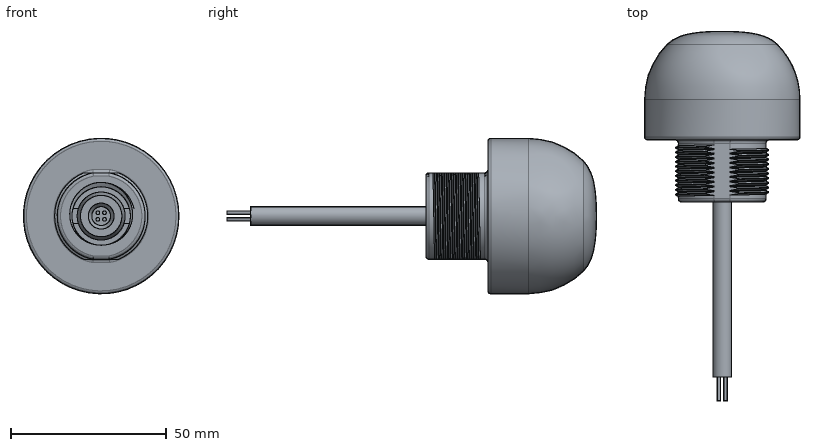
import cadquery as cq
import math


TOTAL_LENGTH = 118.8
DOME_DIAMETER = 50.0
DOME_HEIGHT = 34.9
SKIRT_HEIGHT = 13.1
SHOULDER_DEGREES = 45.0
RIM_FILLET = 1.0

COLLAR_RADIUS = 14.1
COLLAR_LENGTH = 20.0
COLLAR_FILLET = 1.1
FLAT_DISTANCE = 13.9

THREAD_CREST_RADIUS = 15.0
THREAD_LENGTH = 15.8
THREAD_HALF_TURNS = 21
THREAD_START = 2.1
THREAD_ROOT_WIDTH = 1.2
THREAD_CREST_WIDTH = 0.18

RIDGE_OVERLAP = 0.1
JOIN_TOLERANCE = 0.0001

BORE_RADIUS = 9.4
BORE_DEPTH = 7.4
GROOVE_PITCH = 1.8
GROOVE_RADIUS = 10.8
GROOVE_WIDTH = 1.7
GROOVE_ROOT_WIDTH = 0.1

HUB_BASE_RADIUS = 7.7
HUB_TIP_RADIUS = 6.7
HUB_RECESS = 2.6
SLOT_WIDTH = 4.8
SLOT_DEPTH = 1.2
COUNTERSINK_RADIUS = 4.2
COUNTERSINK_DEPTH = 2.1

CABLE_DIAMETER = 6.1
WIRE_RADIUS = 0.6
WIRE_OFFSET = 1.1
WIRE_LENGTH = 7.6

DOME_RADIUS = DOME_DIAMETER / 2
CABLE_RADIUS = CABLE_DIAMETER / 2
THREAD_PITCH = 2 * THREAD_LENGTH / THREAD_HALF_TURNS
WIRE_END = TOTAL_LENGTH - DOME_HEIGHT
CABLE_END = WIRE_END - WIRE_LENGTH
BORE_FLOOR = COLLAR_LENGTH - BORE_DEPTH
HUB_TOP = COLLAR_LENGTH - HUB_RECESS


def helical_ridge(base_radius, tip_radius, base_width, tip_width, pitch, turns, start_z):
    """Right-handed ridge that starts on the +Y side at start_z.

    Its section is a trapezoid on a short straight root that reaches inside base_radius.
    """
    root_radius = base_radius - RIDGE_OVERLAP
    path = cq.Wire.makeHelix(pitch, pitch * turns, root_radius)
    section = (
        cq.Workplane("XZ")
        .moveTo(root_radius, -base_width / 2)
        .lineTo(base_radius, -base_width / 2)
        .lineTo(tip_radius, -tip_width / 2)
        .lineTo(tip_radius, tip_width / 2)
        .lineTo(base_radius, base_width / 2)
        .lineTo(root_radius, base_width / 2)
        .close()
    )
    ridge = section.sweep(cq.Workplane(path), isFrenet=True)
    return ridge.rotate((0, 0, 0), (0, 0, 1), 90).translate((0, 0, start_z))


def dome():
    """Cylindrical skirt, spherical shoulder and a low domed crown."""

    def shoulder_point(angle):
        return DOME_RADIUS * math.cos(angle), -SKIRT_HEIGHT - DOME_RADIUS * math.sin(angle)

    crown_edge = math.radians(SHOULDER_DEGREES)
    crown_edge_direction = (-math.sin(crown_edge), -math.cos(crown_edge))
    tip_direction = (-1, 0)

    profile = (
        cq.Workplane("XZ")
        .lineTo(DOME_RADIUS, 0)
        .lineTo(DOME_RADIUS, -SKIRT_HEIGHT)
        .threePointArc(shoulder_point(crown_edge / 2), shoulder_point(crown_edge))
        .spline(
            [(0, -DOME_HEIGHT)],
            tangents=[crown_edge_direction, tip_direction],
            includeCurrent=True,
        )
        .close()
    )
    return profile.revolve(360, (0, 0), (0, 1)).faces(">Z").edges().fillet(RIM_FILLET)


def between_flats(height):
    """Slab that keeps only what lies between the two collar flats."""
    return cq.Workplane("XY").box(
        2 * DOME_RADIUS, 2 * FLAT_DISTANCE, height, centered=(True, True, False)
    )


def collar():
    """Collar with two flats, rounded at its free end."""
    blank = cq.Workplane("XY").circle(COLLAR_RADIUS).extrude(COLLAR_LENGTH)
    flatted = blank.intersect(between_flats(COLLAR_LENGTH))
    return flatted.faces(">Z").edges().fillet(COLLAR_FILLET)


def outer_thread():
    """Thread on the collar, made of equal half turns that stop at the flats."""
    half_turn = helical_ridge(
        COLLAR_RADIUS,
        THREAD_CREST_RADIUS,
        THREAD_ROOT_WIDTH,
        THREAD_CREST_WIDTH,
        THREAD_PITCH,
        1 / 2,
        THREAD_START,
    ).intersect(between_flats(COLLAR_LENGTH))

    thread = cq.Workplane("XY")
    for index in range(THREAD_HALF_TURNS):
        piece = half_turn.rotate((0, 0, 0), (0, 0, 1), 180 * index)
        thread.add(piece.translate((0, 0, index * THREAD_PITCH / 2)))
    return thread.combine(glue=True)


def bore():
    """Blind bore in the collar end."""
    return cq.Workplane("XY").workplane(offset=BORE_FLOOR).circle(BORE_RADIUS).extrude(BORE_DEPTH)


def inner_groove():
    """Thread groove of the bore, running out through the collar end on the +Y side."""
    turns_inside = math.floor((BORE_DEPTH - GROOVE_WIDTH / 2) / GROOVE_PITCH)
    return helical_ridge(
        BORE_RADIUS,
        GROOVE_RADIUS,
        GROOVE_WIDTH,
        GROOVE_ROOT_WIDTH,
        GROOVE_PITCH,
        turns_inside + 1,
        COLLAR_LENGTH - turns_inside * GROOVE_PITCH,
    )


def spanner_slots():
    """Slot across the bore floor; the hub later fills its middle."""
    return (
        cq.Workplane("XY")
        .workplane(offset=BORE_FLOOR - SLOT_DEPTH)
        .rect(2 * BORE_RADIUS, SLOT_WIDTH)
        .extrude(SLOT_DEPTH)
        .intersect(cq.Workplane("XY").circle(BORE_RADIUS).extrude(COLLAR_LENGTH))
    )


def hub():
    """Tapered cable gland with a conical mouth around the cable."""
    return (
        cq.Workplane("XZ")
        .moveTo(0, BORE_FLOOR - SLOT_DEPTH)
        .lineTo(HUB_BASE_RADIUS, BORE_FLOOR - SLOT_DEPTH)
        .lineTo(HUB_BASE_RADIUS, BORE_FLOOR)
        .lineTo(HUB_TIP_RADIUS, HUB_TOP)
        .lineTo(COUNTERSINK_RADIUS, HUB_TOP)
        .lineTo(CABLE_RADIUS, HUB_TOP - COUNTERSINK_DEPTH)
        .lineTo(0, HUB_TOP - COUNTERSINK_DEPTH)
        .close()
        .revolve(360, (0, 0), (0, 1))
    )


def cable():
    """Cable jacket with four bare wires at its end."""
    jacket = (
        cq.Workplane("XY")
        .workplane(offset=BORE_FLOOR)
        .circle(CABLE_RADIUS)
        .extrude(CABLE_END - BORE_FLOOR)
    )
    wires = (
        cq.Workplane("XY")
        .workplane(offset=CABLE_END)
        .rect(2 * WIRE_OFFSET, 2 * WIRE_OFFSET, forConstruction=True)
        .vertices()
        .circle(WIRE_RADIUS)
        .extrude(WIRE_LENGTH)
    )
    return jacket.union(wires)


junction = cq.selectors.BoxSelector(
    (-THREAD_CREST_RADIUS, -THREAD_CREST_RADIUS, -COLLAR_FILLET),
    (THREAD_CREST_RADIUS, THREAD_CREST_RADIUS, COLLAR_FILLET),
    boundingbox=True,
)
body = dome().union(collar()).edges(junction).fillet(COLLAR_FILLET)

body = body.union(outer_thread(), tol=JOIN_TOLERANCE, clean=False)
body = body.cut(bore(), clean=False)
body = body.cut(inner_groove(), tol=JOIN_TOLERANCE, clean=False)
body = body.cut(spanner_slots(), clean=False)
body = body.union(hub().union(cable()), clean=False)

result = body.clean().rotate((0, 0, 0), (1, 0, 0), 90)